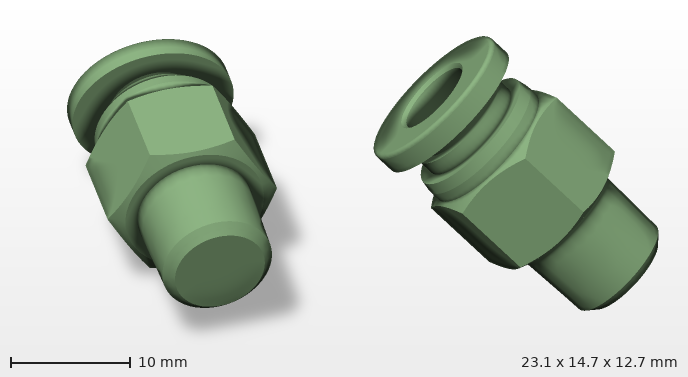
import cadquery as cq
import math

total_length = 23.1

flange_width = 13.95
flange_height = 11.95
flange_length = 2.05
flange_edge_radius = 0.35
neck_diameter = 7.9
bore_diameter = 6.55
bore_chamfer = 0.3
sleeve_length = 4.62
bore_depth = 9.25

nose_start = 3.19
nose_diameter = 9.5
collar_start = 4.62
collar_taper_end = 5.64
collar_front_diameter = 11.6
collar_diameter = 12.0
hex_start = 6.65
hex_end = 15.15
hex_across_flats = 12.7
hex_across_corners = hex_across_flats / math.cos(math.radians(30))
hex_end_diameter = 12.01
hex_chamfer_angle = 30.0
stem_tip_diameter = 9.5
stem_taper = 1 / 16
stem_chamfer = 0.85
stem_chamfer_start = total_length - stem_chamfer
stem_root_diameter = stem_tip_diameter + stem_taper * (stem_chamfer_start - hex_end)


def revolve_profile(points):
    """Turn a closed outline of (x, radius) points about the X axis."""
    return cq.Workplane("XY").polyline(points).close().revolve(360, (0, 0, 0), (1, 0, 0))


def cylinder(start, end, diameter):
    """Round bar along X between two positions."""
    return cq.Workplane("YZ").workplane(offset=start).circle(diameter / 2).extrude(end - start)


def make_hexagon():
    """Hexagon with flats facing up and down, its corners turned off by a cone at each end."""
    prism = (
        cq.Workplane("YZ").workplane(offset=hex_start)
        .polygon(6, hex_across_corners)
        .extrude(hex_end - hex_start)
    )
    end_radius = hex_end_diameter / 2
    corner_radius = hex_across_corners / 2
    cone_length = (corner_radius - end_radius) * math.tan(math.radians(hex_chamfer_angle))
    envelope = revolve_profile([
        (hex_start, 0),
        (hex_start, end_radius),
        (hex_start + cone_length, corner_radius),
        (hex_end - cone_length, corner_radius),
        (hex_end, end_radius),
        (hex_end, 0),
    ])
    return prism.intersect(envelope)


def make_body():
    """Nose, collar and stem around the hexagon, with a sleeve socket and a blind tube bore beyond it."""
    nose_and_collar = revolve_profile([
        (nose_start, 0),
        (nose_start, nose_diameter / 2),
        (collar_start, nose_diameter / 2),
        (collar_start, collar_front_diameter / 2),
        (collar_taper_end, collar_diameter / 2),
        (hex_start, collar_diameter / 2),
        (hex_start, 0),
    ])
    stem = revolve_profile([
        (hex_end, 0),
        (hex_end, stem_root_diameter / 2),
        (stem_chamfer_start, stem_tip_diameter / 2),
        (total_length, stem_tip_diameter / 2 - stem_chamfer),
        (total_length, 0),
    ])
    socket = cylinder(nose_start, sleeve_length, neck_diameter)
    tube_bore = cylinder(sleeve_length, bore_depth, bore_diameter)
    return make_hexagon().union(nose_and_collar).union(stem).cut(socket).cut(tube_bore)


def make_sleeve():
    """Oval flange and neck, bored through with a chamfered tube entry."""
    flange = (
        cq.Workplane("YZ")
        .ellipse(flange_width / 2, flange_height / 2)
        .extrude(flange_length)
        .faces("<X").edges().fillet(flange_edge_radius)
    )
    neck = cylinder(flange_length, sleeve_length, neck_diameter)
    bore = cylinder(0, sleeve_length, bore_diameter)
    entry = revolve_profile([
        (0, 0),
        (0, bore_diameter / 2 + bore_chamfer),
        (bore_chamfer, bore_diameter / 2),
        (bore_chamfer, 0),
    ])
    return flange.union(neck).cut(bore).cut(entry)


body = make_body()
sleeve = make_sleeve()

result = cq.Compound.makeCompound([body.val(), sleeve.val()])